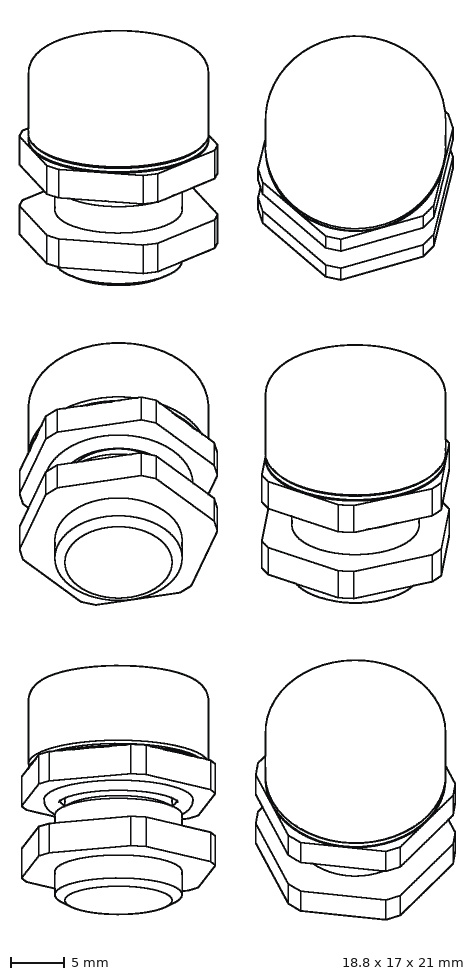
import cadquery as cq

across_flats = 17.0
across_corners = 18.8
hex_height = 2.88
body_hex_bottom = 9.83
nut_bottom = 2.8

total_height = 21.0
cap_radius = across_flats / 2
cap_bottom = 13.34
dome_radius = 1.51

groove_bottom = 12.83
groove_middle = (cap_bottom + groove_bottom) / 2
groove_depth = 0.25

ring_section_radius = 0.75
ring_radius = 6.28

stem_radius = 6.0
neck_radius = 5.06
neck_bottom = 8.86
stem_shoulder = 8.34
end_chamfer_height = 0.55


def cut_corner_hexagon(bottom):
    """Hexagonal plate with its six corners cut off square to the corner direction."""
    plate = cq.Workplane("XY").workplane(offset=bottom).polygon(
        6, across_flats, circumscribed=True
    ).extrude(hex_height)
    corner_cutter = cq.Workplane("XY").workplane(offset=bottom).polygon(
        6, across_corners, circumscribed=True
    ).extrude(hex_height)
    plate = plate.rotate((0, 0, 0), (0, 0, 1), 30)
    return plate.intersect(corner_cutter)


def cap():
    body = (
        cq.Workplane("XY")
        .workplane(offset=body_hex_bottom)
        .circle(cap_radius)
        .extrude(total_height - body_hex_bottom)
        .faces(">Z")
        .edges()
        .fillet(dome_radius)
    )
    groove = (
        cq.Workplane("XZ")
        .moveTo(cap_radius, groove_bottom)
        .lineTo(cap_radius - groove_depth, groove_middle)
        .lineTo(cap_radius, cap_bottom)
        .close()
        .revolve(360, (0, 0, 0), (0, 1, 0))
    )
    return body.cut(groove)


def sealing_ring():
    """Round-section ring, half sunk into the body flange."""
    return (
        cq.Workplane("XZ")
        .center(ring_radius, body_hex_bottom)
        .circle(ring_section_radius)
        .revolve(360, (-ring_radius, 0, 0), (-ring_radius, 1, 0))
    )


def stem():
    """Stem with a bevelled end and a bevelled shoulder below its narrow neck."""
    return (
        cq.Workplane("XZ")
        .lineTo(neck_radius, 0)
        .lineTo(stem_radius, end_chamfer_height)
        .lineTo(stem_radius, stem_shoulder)
        .lineTo(neck_radius, neck_bottom)
        .lineTo(neck_radius, body_hex_bottom)
        .lineTo(0, body_hex_bottom)
        .close()
        .revolve(360, (0, 0, 0), (0, 1, 0))
    )


result = (
    stem()
    .union(sealing_ring())
    .union(cut_corner_hexagon(body_hex_bottom))
    .union(cap())
    .union(cut_corner_hexagon(nut_bottom))
)